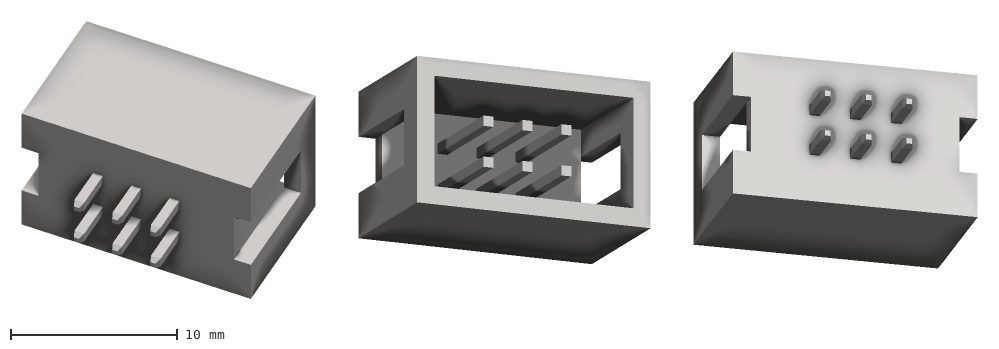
import cadquery as cq

HOUSING_WIDTH = 15.22
HOUSING_DEPTH = 9.0
HOUSING_HEIGHT = 9.1
WALL = 1.12
FLOOR = 1.0

SLOT_LENGTH = 7.0
SLOT_HEIGHT = 3.5

PIN_COLUMNS = 3
PIN_ROWS = 2
PITCH = 2.54
PIN_SIZE = 0.64
TAIL_LENGTH = 3.0
TIP_LENGTH = 0.4
TIP_SIZE = 0.34
PIN_END = 8.0


def box_from(y_start, width, depth, height, x_center=0.0):
    """Box centred in X and Z that runs in +Y from y_start."""
    box = cq.Workplane("XY").box(width, depth, height, centered=(True, False, True))
    return box.translate((x_center, y_start, 0))


def make_housing():
    """Open shroud with a slot in each end wall."""
    housing = box_from(0, HOUSING_WIDTH, HOUSING_DEPTH, HOUSING_HEIGHT)
    cavity = box_from(
        FLOOR,
        HOUSING_WIDTH - 2 * WALL,
        HOUSING_DEPTH - FLOOR,
        HOUSING_HEIGHT - 2 * WALL,
    )
    housing = housing.cut(cavity)
    for side in (-1, 1):
        wall_center = side * (HOUSING_WIDTH - WALL) / 2
        housing = housing.cut(box_from(0, WALL, SLOT_LENGTH, SLOT_HEIGHT, wall_center))
    return housing


def make_pin():
    """Square pin on the Y axis with a tapered tip at its -Y end."""
    shank_start = TIP_LENGTH - TAIL_LENGTH
    shank = box_from(shank_start, PIN_SIZE, PIN_END - shank_start, PIN_SIZE)
    tip = (
        cq.Workplane("XZ", origin=(0, shank_start, 0))
        .rect(PIN_SIZE, PIN_SIZE)
        .workplane(offset=TIP_LENGTH)
        .rect(TIP_SIZE, TIP_SIZE)
        .loft(ruled=True)
    )
    return shank.union(tip)


def make_header():
    """Housing with its grid of pins."""
    header = make_housing()
    pin = make_pin()
    for column in range(PIN_COLUMNS):
        x = (column - (PIN_COLUMNS - 1) / 2) * PITCH
        for row in range(PIN_ROWS):
            z = (row - (PIN_ROWS - 1) / 2) * PITCH
            header = header.union(pin.translate((x, 0, z)))
    return header


result = make_header()